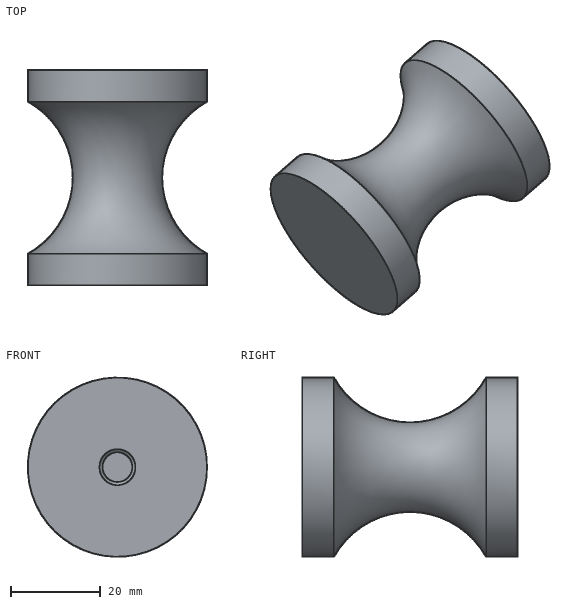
import cadquery as cq

length = 48.0
flange_diameter = 40.0
flange_thickness = 7.05
waist_diameter = 20.0

hole_diameter = 6.6
hole_mouth_diameter = 8.0
hole_depth = 14.4

half_length = length / 2
flange_radius = flange_diameter / 2
flange_inner_y = half_length - flange_thickness


def spool_body():
    """Two cylindrical flanges joined by a concave circular-arc waist."""
    return (
        cq.Workplane("XY")
        .moveTo(0, -half_length)
        .lineTo(flange_radius, -half_length)
        .lineTo(flange_radius, -flange_inner_y)
        .threePointArc((waist_diameter / 2, 0), (flange_radius, flange_inner_y))
        .lineTo(flange_radius, half_length)
        .lineTo(0, half_length)
        .close()
        .revolve(360, (0, 0, 0), (0, 1, 0))
    )


def hole_cutter():
    """Flat-bottomed hole with a 45 degree chamfer at its mouth."""
    hole_radius = hole_diameter / 2
    mouth_radius = hole_mouth_diameter / 2
    chamfer_depth = mouth_radius - hole_radius
    return (
        cq.Workplane("XY")
        .moveTo(0, -half_length)
        .lineTo(mouth_radius, -half_length)
        .lineTo(hole_radius, -half_length + chamfer_depth)
        .lineTo(hole_radius, -half_length + hole_depth)
        .lineTo(0, -half_length + hole_depth)
        .close()
        .revolve(360, (0, 0, 0), (0, 1, 0))
    )


result = spool_body().cut(hole_cutter())